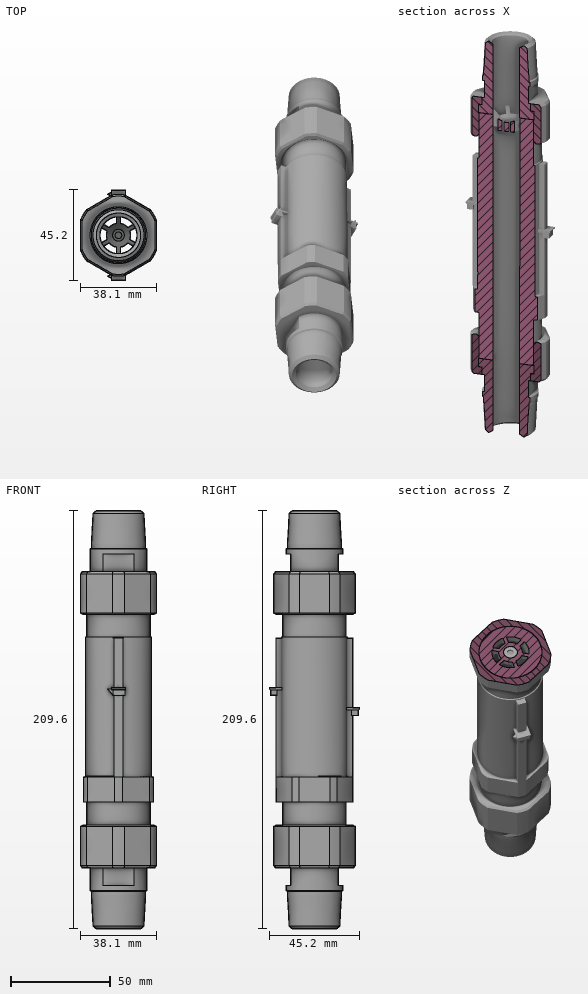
import cadquery as cq
import math

HALF_LENGTH = 104.8
BORE_RADIUS = 9.2

BODY_HALF_LENGTH = 65.8
NECK_RADIUS = 16.0
BARREL_RADIUS = 16.5
BARREL_TOP = 41.5
WRENCH_HEX_TOP = -28.7
WRENCH_HEX_BOTTOM = -41.3
WRENCH_HEX_FLATS = 35.2
WRENCH_HEX_RADIUS = 19.3
BARREL_ROOT_FILLET = 0.52

RIB_WIDTH = 4.5
RIB_REACH = WRENCH_HEX_RADIUS
RIB_TOP = BARREL_TOP - 0.6
RIB_ROOT_FILLET = 0.52

MARKER_REACH = 22.6
MARKER_HALF_WIDTH = 3.5
MARKER_HEIGHT = 4.0
MARKER_STEP = 0.6
MARKER_BLOCK_LEFT = -2.7
MARKER_BLOCK_RIGHT = 3.4
MARKER_TIP_X = -5.5
MARKER_TIP_Y = 20.5
MARKER_TIP_ROOT_Y = 19.0
FRONT_MARKER_TOP = 16.1
BACK_MARKER_TOP = 6.0

HUB_RADIUS = 6.0
SPOKE_WIDTH = 2.0
SPOKE_COUNT = 6
FUNNEL_FLOOR_RADIUS = 3.0
FUNNEL_FLOOR_THICKNESS = 2.0
FUNNEL_HOLE_RADIUS = 1.7
FUNNEL_HOLE_DEPTH = 1.0
FUNNEL_DEPTH = BORE_RADIUS - FUNNEL_FLOOR_RADIUS
FUNNEL_BOTTOM = BODY_HALF_LENGTH - FUNNEL_DEPTH - FUNNEL_FLOOR_THICKNESS

NUT_OUTER_Z = 74.2
NUT_INNER_Z = 52.8
NUT_FLATS = 38.1
NUT_FLAT_WIDTH = 14.9
NUT_CORNER_RADIUS = math.hypot(NUT_FLATS / 2, NUT_FLAT_WIDTH / 2)
NUT_OUTER_CHAMFER_WIDTH = 0.8
NUT_OUTER_CHAMFER_HEIGHT = 1.3
NUT_INNER_CHAMFER_WIDTH = 1.3
NUT_INNER_CHAMFER_HEIGHT = 0.6
NUT_BORE_CHAMFER = 1.0

COLLAR_RADIUS = 14.2
FLANGE_TOP = 70.0
COLLAR_TOP = HALF_LENGTH - 19.3
RUNOUT_LEDGE_HEIGHT = 0.5
THREAD_BOTTOM = HALF_LENGTH - 16.8
THREAD_ROOT_RADIUS = 13.6
THREAD_TIP_RADIUS = 12.8
TIP_CHAMFER_HEIGHT = 1.5
TIP_EDGE_RADIUS = 11.1
FLAT_OFFSET = 12.0
FLAT_TOP = HALF_LENGTH - 21.8


def cylinder(radius, bottom, top):
    """Upright cylinder on the main axis between two heights."""
    return cq.Workplane("XY").workplane(offset=bottom).circle(radius).extrude(top - bottom)


def hex_sketch(flats, height):
    """Hexagon outline at the given height, with flats facing +X and -X."""
    across_corners = flats / math.cos(math.radians(30))
    plane = cq.Workplane("XY").workplane(offset=height)
    return plane.transformed(rotate=(0, 0, 30)).polygon(6, across_corners)


def rounded_hex(flats, corner_radius, bottom, top):
    """Hexagonal prism with its corners turned down to a cylinder."""
    hexagon = hex_sketch(flats, bottom).extrude(top - bottom)
    return hexagon.intersect(cylinder(corner_radius, bottom, top))


def box_between(x_range, y_range, z_range):
    """Box given by its lower and upper limits along each axis."""
    sizes = [high - low for low, high in (x_range, y_range, z_range)]
    corner = (x_range[0], y_range[0], z_range[0])
    return cq.Workplane("XY").box(*sizes, centered=False).translate(corner)


def make_barrel():
    """Cylindrical barrel standing on the wrench hexagon, with a rounded root."""
    barrel = cylinder(BARREL_RADIUS, WRENCH_HEX_TOP, BARREL_TOP)
    root_radius = BARREL_RADIUS + BARREL_ROOT_FILLET
    root = (
        cq.Workplane("XZ")
        .moveTo(0, WRENCH_HEX_TOP)
        .lineTo(root_radius, WRENCH_HEX_TOP)
        .radiusArc((BARREL_RADIUS, WRENCH_HEX_TOP + BARREL_ROOT_FILLET), BARREL_ROOT_FILLET)
        .lineTo(0, WRENCH_HEX_TOP + BARREL_ROOT_FILLET)
        .close()
        .revolve(360, (0, 0, 0), (0, 1, 0))
    )
    return barrel, root


def add_ribs(barrel):
    """Two straight ribs on the -Y and +Y sides, blended into the barrel along their sides."""
    half = RIB_WIDTH / 2
    ribs = box_between((-half, half), (-RIB_REACH, RIB_REACH), (WRENCH_HEX_TOP, RIB_TOP))
    ribbed = barrel.union(ribs)
    root_y = math.sqrt(BARREL_RADIUS**2 - half**2)
    mid_z = (WRENCH_HEX_TOP + RIB_TOP) / 2
    roots = None
    for x in (-half, half):
        for y in (-root_y, root_y):
            edge = ribbed.edges(cq.selectors.NearestToPointSelector((x, y, mid_z)))
            roots = edge if roots is None else roots.add(edge)
    return roots.fillet(RIB_ROOT_FILLET)


def make_marker(top):
    """Flow marker on the -Y rib: a lipped plate, a block under it and a tip pointing to -X."""
    bottom = top - MARKER_HEIGHT
    block_reach = MARKER_REACH - MARKER_STEP
    inner_y = -(BARREL_RADIUS - MARKER_STEP)
    plate = (
        cq.Workplane("YZ")
        .workplane(offset=-MARKER_HALF_WIDTH)
        .polyline([
            (inner_y, top),
            (-MARKER_REACH, top),
            (-MARKER_REACH, top - MARKER_STEP),
            (-block_reach, top - 2 * MARKER_STEP),
            (inner_y, top - 2 * MARKER_STEP),
        ])
        .close()
        .extrude(2 * MARKER_HALF_WIDTH)
    )
    block = box_between(
        (MARKER_BLOCK_LEFT, MARKER_BLOCK_RIGHT), (-block_reach, -RIB_REACH + MARKER_STEP), (bottom, top)
    )
    tip_plan = (
        cq.Workplane("XY")
        .workplane(offset=bottom)
        .polyline([
            (0, -block_reach),
            (MARKER_BLOCK_LEFT, -block_reach),
            (MARKER_TIP_X, -MARKER_TIP_Y),
            (MARKER_BLOCK_LEFT, -MARKER_TIP_ROOT_Y),
            (0, -MARKER_TIP_ROOT_Y),
        ])
        .close()
        .extrude(MARKER_HEIGHT - MARKER_STEP)
    )
    tip_side = (
        cq.Workplane("XZ")
        .polyline([
            (0, top),
            (MARKER_TIP_X, top),
            (MARKER_TIP_X, top - MARKER_STEP),
            (MARKER_BLOCK_LEFT, bottom),
            (0, bottom),
        ])
        .close()
        .extrude(MARKER_REACH)
    )
    return plate.union(block).union(tip_plan.intersect(tip_side))


def make_funnel():
    """Dished hub held by radial spokes, with open passages between the spokes."""
    disc = cylinder(HUB_RADIUS, FUNNEL_BOTTOM, BODY_HALF_LENGTH)
    spoke_length = (BORE_RADIUS + NECK_RADIUS) / 2
    spoke = box_between(
        (0, spoke_length), (-SPOKE_WIDTH / 2, SPOKE_WIDTH / 2), (FUNNEL_BOTTOM, BODY_HALF_LENGTH)
    )
    for index in range(SPOKE_COUNT):
        angle = 30 + index * 360 / SPOKE_COUNT
        disc = disc.union(spoke.rotate((0, 0, 0), (0, 0, 1), angle))
    floor_z = FUNNEL_BOTTOM + FUNNEL_FLOOR_THICKNESS
    dish = (
        cq.Workplane("XY")
        .workplane(offset=floor_z)
        .circle(FUNNEL_FLOOR_RADIUS)
        .workplane(offset=FUNNEL_DEPTH)
        .circle(BORE_RADIUS)
        .loft()
    )
    hole = cylinder(FUNNEL_HOLE_RADIUS, floor_z - FUNNEL_HOLE_DEPTH, floor_z)
    return disc.cut(dish).cut(hole)


def make_body():
    """Valve body: necks, barrel, wrench hexagon, ribs, flow markers, bore and funnel."""
    barrel, root = make_barrel()
    neck = cylinder(NECK_RADIUS, -BODY_HALF_LENGTH, BODY_HALF_LENGTH)
    wrench_hex = rounded_hex(WRENCH_HEX_FLATS, WRENCH_HEX_RADIUS, WRENCH_HEX_BOTTOM, WRENCH_HEX_TOP)
    front_marker = make_marker(FRONT_MARKER_TOP)
    back_marker = make_marker(BACK_MARKER_TOP).mirror("XZ")
    body = add_ribs(barrel).union(root).union(wrench_hex).union(neck)
    body = body.union(front_marker).union(back_marker)
    body = body.cut(cylinder(BORE_RADIUS, -BODY_HALF_LENGTH, BODY_HALF_LENGTH))
    return body.union(make_funnel())


def chamfered_end(bottom, height, width):
    """Tapering end of a nut: its section shrinks by the chamfer width over the chamfer height."""
    taper = math.degrees(math.atan2(width, height))
    hexagon = hex_sketch(NUT_FLATS, bottom).extrude(height, taper=taper)
    cone = (
        cq.Workplane("XY")
        .workplane(offset=bottom)
        .circle(NUT_CORNER_RADIUS)
        .workplane(offset=height)
        .circle(NUT_CORNER_RADIUS - width)
        .loft()
    )
    return hexagon.intersect(cone)


def make_nut():
    """Union nut of the upper end: closes over the body neck and retains the nipple flange."""
    shoulder_bottom = NUT_INNER_Z + NUT_INNER_CHAMFER_HEIGHT
    shoulder_top = NUT_OUTER_Z - NUT_OUTER_CHAMFER_HEIGHT
    straight = rounded_hex(NUT_FLATS, NUT_CORNER_RADIUS, shoulder_bottom, shoulder_top)
    outer_end = chamfered_end(shoulder_top, NUT_OUTER_CHAMFER_HEIGHT, NUT_OUTER_CHAMFER_WIDTH)
    inner_end = chamfered_end(-shoulder_bottom, NUT_INNER_CHAMFER_HEIGHT, NUT_INNER_CHAMFER_WIDTH)
    nut = straight.union(outer_end).union(inner_end.mirror("XY"))
    nut = nut.cut(cylinder(NECK_RADIUS, NUT_INNER_Z, FLANGE_TOP))
    nut = nut.cut(cylinder(COLLAR_RADIUS, FLANGE_TOP, NUT_OUTER_Z))
    bore_mouth = (
        cq.Workplane("XY")
        .workplane(offset=NUT_INNER_Z)
        .circle(NECK_RADIUS + NUT_BORE_CHAMFER)
        .workplane(offset=NUT_BORE_CHAMFER)
        .circle(NECK_RADIUS)
        .loft()
    )
    return nut.cut(bore_mouth)


def make_nipple():
    """Nipple of the upper end: retained flange, collar with two flats and a tapered thread."""
    nipple = (
        cq.Workplane("XZ")
        .polyline([
            (BORE_RADIUS, BODY_HALF_LENGTH),
            (NECK_RADIUS, BODY_HALF_LENGTH),
            (NECK_RADIUS, FLANGE_TOP),
            (COLLAR_RADIUS, FLANGE_TOP),
            (COLLAR_RADIUS, COLLAR_TOP),
            (THREAD_ROOT_RADIUS, COLLAR_TOP + RUNOUT_LEDGE_HEIGHT),
            (THREAD_ROOT_RADIUS, THREAD_BOTTOM),
            (THREAD_TIP_RADIUS, HALF_LENGTH - TIP_CHAMFER_HEIGHT),
            (TIP_EDGE_RADIUS, HALF_LENGTH),
            (BORE_RADIUS, HALF_LENGTH - TIP_CHAMFER_HEIGHT),
        ])
        .close()
        .revolve(360, (0, 0, 0), (0, 1, 0))
    )
    for y_range in ((-NECK_RADIUS, -FLAT_OFFSET), (FLAT_OFFSET, NECK_RADIUS)):
        flat_cut = box_between((-NECK_RADIUS, NECK_RADIUS), y_range, (NUT_OUTER_Z, FLAT_TOP))
        nipple = nipple.cut(flat_cut)
    return nipple


def both_ends(upper):
    """The given upper part together with its mirror image at the lower end."""
    return [upper.val(), upper.mirror("XY").val()]


body = make_body()
nuts = both_ends(make_nut())
nipples = both_ends(make_nipple())

result = cq.Compound.makeCompound([body.val(), *nuts, *nipples])